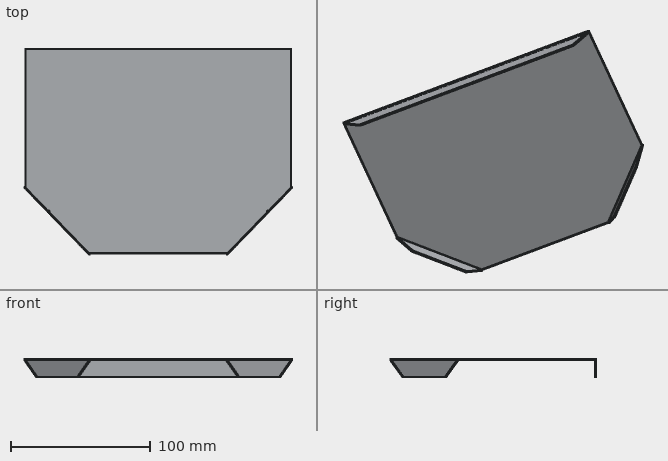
import cadquery as cq
import math

overall_width = 191.5
overall_depth = 147.2
overall_height = 13.0
sheet = 0.8
corner_cut_x = 46.3
corner_cut_y = 47.9

corner_edge = math.hypot(corner_cut_x, corner_cut_y)
overhang_x = sheet * corner_cut_y / corner_edge
overhang_y = sheet * corner_cut_x / corner_edge
half_width = overall_width / 2 - overhang_x
y_front = -overall_depth / 2 + overhang_y
y_back = overall_depth / 2 - sheet
half_front = half_width - corner_cut_x
y_corner = y_front + corner_cut_y


def flange(start, end):
    """Downward flange outside the edge from start to end, outward on its right.

    The ends are square through the sheet thickness, then taper at 45 degrees.
    """
    dx = end[0] - start[0]
    dy = end[1] - start[1]
    length = math.hypot(dx, dy)
    taper = overall_height - sheet
    edge_plane = cq.Plane(
        origin=(start[0], start[1], 0),
        xDir=(dx, dy, 0),
        normal=(dy, -dx, 0),
    )
    profile = [
        (0, 0),
        (length, 0),
        (length, -sheet),
        (length - taper, -overall_height),
        (taper, -overall_height),
        (0, -sheet),
    ]
    return cq.Workplane(edge_plane).polyline(profile).close().extrude(sheet)


back_right = (half_width, y_back)
back_left = (-half_width, y_back)
side_left = (-half_width, y_corner)
front_left = (-half_front, y_front)
front_right = (half_front, y_front)
side_right = (half_width, y_corner)
outline = [back_right, back_left, side_left, front_left, front_right, side_right]
plate = cq.Workplane("XY").polyline(outline).close().extrude(-sheet)

result = plate
for start, end in [
    (back_right, back_left),
    (side_left, front_left),
    (front_right, side_right),
]:
    result = result.union(flange(start, end))